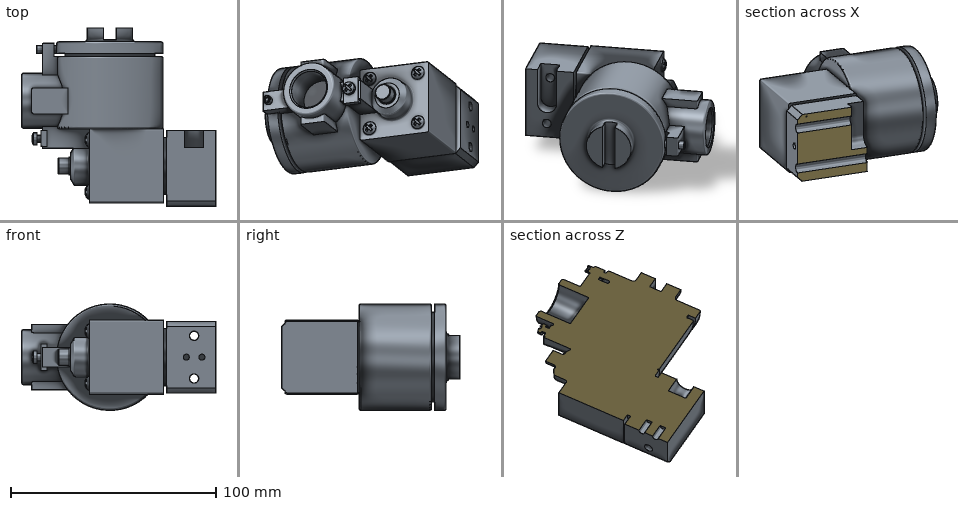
import cadquery as cq
import math

edge_round = 1.0

housing_diameter = 52.0
housing_front_y = -13.7
housing_back_y = 21.7
neck_diameter = 44.0
cap_front_y = 23.1
cap_back_y = 28.8
boss_diameter = 22.3
boss_back_y = 35.5
boss_flare = 1.5
slot_width = 6.2
slot_floor_y = 29.8

conduit_diameter = 27.0
conduit_end_x = -43.0
bore_diameter = 18.4
bore_depth = 17.1
bore_chamfer = 0.8
lug_end_x = -38.2
lug_width = 12.7
lug_half_height = 16.0

strap_outer_x = -33.0
strap_width = 9.6
strap_tip_x = -27.2
strap_back_y = 28.1
strap_front_y = -23.2
strap_round = 0.9

lock_screw_y = 25.0
lock_screw_diameter = 4.0
lock_screw_end_x = -35.8
lock_screw_chamfer = 0.3
socket_across_corners = 2.6
socket_depth = 1.4

clamp_outer_x = -33.6
clamp_thickness = 2.9
clamp_length = 7.8
clamp_height = 13.0
clamp_y = -18.4
clamp_screw_y = -18.6
clamp_shank_diameter = 3.5
clamp_shank_length = 1.9
clamp_head_diameter = 6.1
clamp_head_rim = 1.7
clamp_head_dome = 0.9

block_size = 36.2
block_start_x = -9.95
block_end_x = block_start_x + block_size
block_y = housing_front_y - block_size / 2
block_screw_offset = 12.7
block_head_diameter = 6.6
block_head_flare = 0.7
block_head_rim = 0.8
block_head_dome = 1.5

snout_diameter = 19.1
snout_flare = 0.95
snout_shoulder_x = -16.8
snout_cone_x = -17.6
snout_cone_diameter = 18.0
snout_face_x = -19.2
snout_face_diameter = 12.7
collar_diameter = 9.0
collar_end_x = -19.8
tip_diameter = 8.0
tip_end_x = -25.2
tip_chamfer = 0.3

spacer_diameter = 28.0
valve_start_x = 27.8
valve_end_x = 51.7
valve_front_y = -51.5
valve_back_y = -14.5
valve_height = 35.1
valve_chamfer = 2.6
valve_hole_x = 41.1
mount_hole_diameter = 4.4
mount_hole_z = 10.4
port_diameter = 2.9
port_offset = 3.8
port_depth = 7.6
notch_width = 9.4
notch_depth = 8.2

recess_length = 4.0
recess_width = 1.0
recess_depth = 0.95


def box(x_range, y_range, z_range):
    size = [high - low for low, high in (x_range, y_range, z_range)]
    return cq.Workplane("XY").box(*size, centered=False).translate((x_range[0], y_range[0], z_range[0]))


def rod_x(diameter, start_x, end_x, y=0, z=0):
    """Cylinder along X."""
    return cq.Workplane("YZ", origin=(start_x, y, z)).circle(diameter / 2).extrude(end_x - start_x)


def rod_y(diameter, start_y, end_y, x=0, z=0):
    """Cylinder along Y."""
    return cq.Workplane("XZ", origin=(x, start_y, z)).circle(diameter / 2).extrude(start_y - end_y)


def screw_head(diameter, rim, dome, seat_x, y, z):
    """Domed head that rises towards -X, with a cross recess."""
    radius = diameter / 2
    sphere_radius = (radius**2 + dome**2) / (2 * dome)
    half_chord = radius / 2
    half_rise = dome - sphere_radius + math.sqrt(sphere_radius**2 - half_chord**2)
    head = (
        cq.Workplane("XY")
        .lineTo(0, radius)
        .lineTo(-rim, radius)
        .threePointArc((-rim - half_rise, half_chord), (-rim - dome, 0))
        .close()
        .revolve(360, (0, 0, 0), (1, 0, 0))
    )
    arm = cq.Workplane("XY").box(2 * recess_depth, recess_length, recess_width)
    recess = arm.rotate((0, 0, 0), (1, 0, 0), 45).union(arm.rotate((0, 0, 0), (1, 0, 0), -45))
    return head.cut(recess.translate((-rim - dome, 0, 0))).translate((seat_x, y, z))


def flared_root(radius, flare):
    """Disk on the YZ plane that rises towards -X and narrows to the radius through a concave arc."""
    arc_step = flare * (1 - math.sqrt(0.5))
    return (
        cq.Workplane("XY")
        .lineTo(0, radius + flare)
        .threePointArc((-arc_step, radius + arc_step), (-flare, radius))
        .lineTo(-flare, 0)
        .close()
        .revolve(360, (0, 0, 0), (1, 0, 0))
    )


def make_housing():
    body = rod_y(housing_diameter, housing_front_y, housing_back_y).edges().fillet(edge_round)
    neck = rod_y(neck_diameter, housing_back_y - edge_round, cap_front_y)
    return body.union(neck)


def make_cap():
    cap = rod_y(housing_diameter, cap_front_y, cap_back_y).faces(">Y").edges().fillet(edge_round)
    root = flared_root(boss_diameter / 2, boss_flare).rotate((0, 0, 0), (0, 0, 1), -90)
    boss = rod_y(boss_diameter, cap_back_y, boss_back_y).union(root.translate((0, cap_back_y, 0)))
    slot = box(
        (-slot_width / 2, slot_width / 2),
        (slot_floor_y, boss_back_y),
        (-boss_diameter, boss_diameter),
    )
    return cap.union(boss.cut(slot))


def make_conduit():
    tube = rod_x(conduit_diameter, conduit_end_x, 0).faces("<X").edges().fillet(edge_round)
    lugs = box((lug_end_x, 0), (-lug_width / 2, lug_width / 2), (-lug_half_height, lug_half_height))
    return tube.union(lugs.faces("<X").edges("|Z").fillet(edge_round))


def make_bore():
    bore = rod_x(bore_diameter, conduit_end_x, conduit_end_x + bore_depth)
    mouth_radius = bore_diameter / 2 + bore_chamfer
    mouth = cq.Workplane(cq.Solid.makeCone(
        mouth_radius,
        bore_diameter / 2,
        bore_chamfer,
        pnt=cq.Vector(conduit_end_x, 0, 0),
        dir=cq.Vector(1, 0, 0),
    ))
    return bore.union(mouth)


def make_strap():
    half_width = strap_width / 2
    outline = [
        (strap_outer_x, strap_front_y),
        (block_start_x, strap_front_y),
        (block_start_x, housing_back_y),
        (strap_tip_x, housing_back_y),
        (strap_tip_x, strap_back_y),
        (strap_outer_x, strap_back_y),
    ]
    strap = cq.Workplane("XY", origin=(0, 0, -half_width)).polyline(outline).close().extrude(strap_width)
    return strap.faces("<X").edges("|Z and >Y").fillet(strap_round)


def make_lock_screw():
    cap_side_x = -housing_diameter / 2 + edge_round
    screw = rod_x(lock_screw_diameter, lock_screw_end_x, cap_side_x, lock_screw_y)
    screw = screw.faces("<X").chamfer(lock_screw_chamfer)
    socket = (
        cq.Workplane("YZ", origin=(lock_screw_end_x, lock_screw_y, 0))
        .polygon(6, socket_across_corners)
        .extrude(socket_depth)
    )
    return screw.cut(socket)


def make_clamp():
    plate = box(
        (clamp_outer_x, clamp_outer_x + clamp_thickness),
        (clamp_y - clamp_length / 2, clamp_y + clamp_length / 2),
        (-clamp_height / 2, clamp_height / 2),
    )
    seat_x = clamp_outer_x - clamp_shank_length
    shank = rod_x(clamp_shank_diameter, seat_x, clamp_outer_x, clamp_screw_y)
    head = screw_head(clamp_head_diameter, clamp_head_rim, clamp_head_dome, seat_x, clamp_screw_y, 0)
    return plate.union(shank).union(head)


def make_block():
    half = block_size / 2
    block = box((block_start_x, block_end_x), (block_y - half, block_y + half), (-half, half))
    block = block.edges("|X").fillet(edge_round)
    root = flared_root(block_head_diameter / 2, block_head_flare)
    for side_y in (-1, 1):
        for side_z in (-1, 1):
            y = block_y + side_y * block_screw_offset
            z = side_z * block_screw_offset
            head = screw_head(block_head_diameter, block_head_rim, block_head_dome, block_start_x, y, z)
            block = block.union(root.translate((block_start_x, y, z))).union(head)
    return block


def make_snout():
    root = flared_root(snout_diameter / 2, snout_flare).translate((block_start_x, 0, 0))
    snout = (
        cq.Workplane("XY")
        .moveTo(block_start_x, 0)
        .lineTo(block_start_x, snout_diameter / 2)
        .lineTo(snout_shoulder_x, snout_diameter / 2)
        .tangentArcPoint((snout_cone_x, snout_cone_diameter / 2), relative=False)
        .lineTo(snout_face_x, snout_face_diameter / 2)
        .lineTo(snout_face_x, collar_diameter / 2)
        .lineTo(collar_end_x, collar_diameter / 2)
        .lineTo(collar_end_x, tip_diameter / 2)
        .lineTo(tip_end_x + tip_chamfer, tip_diameter / 2)
        .lineTo(tip_end_x, tip_diameter / 2 - tip_chamfer)
        .lineTo(tip_end_x, 0)
        .close()
        .revolve(360, (0, 0, 0), (1, 0, 0))
    )
    return snout.union(root).translate((0, block_y, 0))


def make_valve():
    half_height = valve_height / 2
    valve = box((valve_start_x, valve_end_x), (valve_front_y, valve_back_y), (-half_height, half_height))
    valve = valve.faces("<Y").edges("|X").chamfer(valve_chamfer)

    notch_floor_y = valve_back_y - notch_depth
    half_notch = notch_width / 2
    notch = box(
        (valve_hole_x - half_notch, valve_hole_x + half_notch),
        (notch_floor_y, valve_back_y),
        (0, half_height),
    )
    valve = valve.cut(notch.union(rod_y(notch_width, notch_floor_y, valve_back_y, valve_hole_x)))

    for side in (-1, 1):
        mount_hole = rod_y(
            mount_hole_diameter, valve_front_y, valve_back_y, valve_hole_x, side * mount_hole_z
        )
        port_x = valve_hole_x + side * port_offset
        port = rod_y(port_diameter, valve_front_y, valve_front_y + port_depth, port_x)
        valve = valve.cut(mount_hole).cut(port)

    return valve.union(rod_x(spacer_diameter, block_end_x, valve_start_x, block_y))


result = (
    make_housing()
    .union(make_cap())
    .union(make_conduit())
    .union(make_strap())
    .cut(make_bore())
    .union(make_lock_screw())
    .union(make_clamp())
    .union(make_block())
    .union(make_snout())
    .union(make_valve())
)